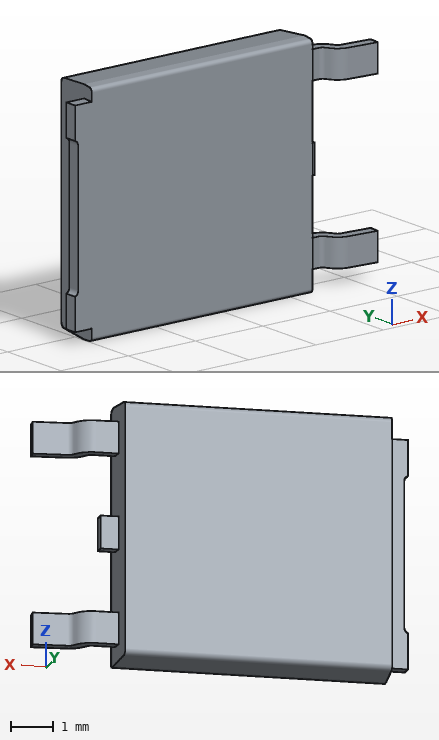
import cadquery as cq
import math

body_left_bottom = 0.495
body_left_top = 0.63
body_right_bottom = 7.06
body_right_parting = 7.08
body_right_top = 7.04
body_height = 1.32
parting_height = 0.33
body_width = 6.2
body_bottom_width = 6.15
body_top_width = 6.07
bottom_edge_radius = 0.11
top_edge_radius = 0.135

tab_thickness = parting_height
tab_length = 5.265
tab_head_length = 0.98
tab_head_width = 5.51
tab_width = 5.35
notch_depth = 0.09
notch_outer_width = 3.78
notch_corner_radius = 0.14

slot_length = 1.15
slot_width = 0.53
slot_x = 0.77
slot_spacing = 2.9

lead_thickness = 0.31
lead_bottom = 0.46
lead_width = 0.765
lead_spacing = tab_width - lead_width
lead_end = 9.0
stub_end = 7.49
stub_width = 0.79
lead_root = body_right_top - 0.45
bend_start = 7.605
bend_radius = 0.3
bend_angle = math.radians(60)
bend_straight = 0.135
foot_tilt = math.radians(5)


def extrude_centred(outline, width):
    """Extrude an XY outline symmetrically about the Z = 0 plane."""
    return outline.extrude(width / 2, both=True)


def make_body():
    side_outline = cq.Workplane("XY").polyline([
        (body_left_bottom, 0),
        (body_right_bottom, 0),
        (body_right_parting, parting_height),
        (body_right_top, body_height),
        (body_left_top, body_height),
    ]).close()
    end_outline = cq.Workplane("YZ").polyline([
        (0, -body_bottom_width / 2),
        (parting_height, -body_width / 2),
        (body_height, -body_top_width / 2),
        (body_height, body_top_width / 2),
        (parting_height, body_width / 2),
        (0, body_bottom_width / 2),
    ]).close()
    bar = end_outline.extrude(body_right_parting)
    bar = bar.edges("|X").edges("<Y").fillet(bottom_edge_radius)
    bar = bar.edges("|X").edges(">Y").fillet(top_edge_radius)
    return bar.intersect(extrude_centred(side_outline, body_width))


def xz_plane():
    """Sketch plane at Y = 0 whose extrusions run toward +Y, with local x along -X."""
    return cq.Workplane(cq.Plane((0, 0, 0), xDir=(-1, 0, 0), normal=(0, 1, 0)))


def make_tab():
    half_outline = [
        (0, notch_outer_width / 2),
        (0, tab_head_width / 2),
        (-tab_head_length, tab_head_width / 2),
        (-tab_head_length, tab_width / 2),
        (-tab_length, tab_width / 2),
    ]
    mirrored = [(x, -z) for x, z in reversed(half_outline)]
    corner_centre_depth = notch_depth - notch_corner_radius
    corner_angle = math.acos(-corner_centre_depth / notch_corner_radius)
    floor_z = notch_outer_width / 2 - notch_corner_radius * math.sin(corner_angle)
    mid_depth = corner_centre_depth + notch_corner_radius * math.cos(corner_angle / 2)
    mid_z = floor_z + notch_corner_radius * math.sin(corner_angle / 2)
    outline = (
        xz_plane()
        .polyline(half_outline + mirrored)
        .threePointArc((-mid_depth, -mid_z), (-notch_depth, -floor_z))
        .lineTo(-notch_depth, floor_z)
        .threePointArc((-mid_depth, mid_z), half_outline[0])
        .close()
    )
    return outline.extrude(tab_thickness)


def make_slots():
    centres = [(-slot_x, side * slot_spacing / 2) for side in (-1, 1)]
    return xz_plane().pushPoints(centres).slot2D(slot_length, slot_width, 90).extrude(tab_thickness)


def polar(centre, radius, angle):
    """Point around a centre, with the angle measured from +Y toward +X."""
    return (centre[0] + radius * math.sin(angle), centre[1] + radius * math.cos(angle))


def make_lead(centre_z):
    half = lead_thickness / 2
    outer = bend_radius + half
    inner = bend_radius - half
    down_bend = (bend_start, lead_bottom + half - bend_radius)
    bends_in_line = polar(down_bend, 2 * bend_radius, bend_angle)
    up_bend = polar(bends_in_line, bend_straight, bend_angle + math.pi / 2)
    mid_down = bend_angle / 2
    mid_up = math.pi + (bend_angle + foot_tilt) / 2
    foot_top = polar(up_bend, inner, math.pi + foot_tilt)
    foot_bottom = polar(up_bend, outer, math.pi + foot_tilt)
    toe_top = (lead_end, foot_top[1] - (lead_end - foot_top[0]) * math.tan(foot_tilt))
    toe_bottom = polar(toe_top, lead_thickness, math.pi + foot_tilt)
    outline = (
        cq.Workplane("XY")
        .moveTo(lead_root, lead_bottom + lead_thickness)
        .lineTo(bend_start, lead_bottom + lead_thickness)
        .threePointArc(polar(down_bend, outer, mid_down), polar(down_bend, outer, bend_angle))
        .lineTo(*polar(up_bend, inner, math.pi + bend_angle))
        .threePointArc(polar(up_bend, inner, mid_up), foot_top)
        .lineTo(*toe_top)
        .lineTo(*toe_bottom)
        .lineTo(*foot_bottom)
        .threePointArc(polar(up_bend, outer, mid_up), polar(up_bend, outer, math.pi + bend_angle))
        .lineTo(*polar(down_bend, inner, bend_angle))
        .threePointArc(polar(down_bend, inner, mid_down), (bend_start, lead_bottom))
        .lineTo(lead_root, lead_bottom)
        .close()
    )
    return extrude_centred(outline, lead_width).translate((0, 0, centre_z))


def make_stub():
    size = (stub_end - lead_root, lead_thickness, stub_width)
    stub = cq.Workplane("XY").box(*size, centered=(False, False, True))
    return stub.translate((lead_root, lead_bottom, 0))


slots = make_slots()
tab = make_tab()
body = make_body().cut(tab)
result = body.union(tab.cut(slots), clean=False).union(slots, clean=False)
for side in (-1, 1):
    result = result.union(make_lead(side * lead_spacing / 2), clean=False)
result = result.union(make_stub(), clean=False)